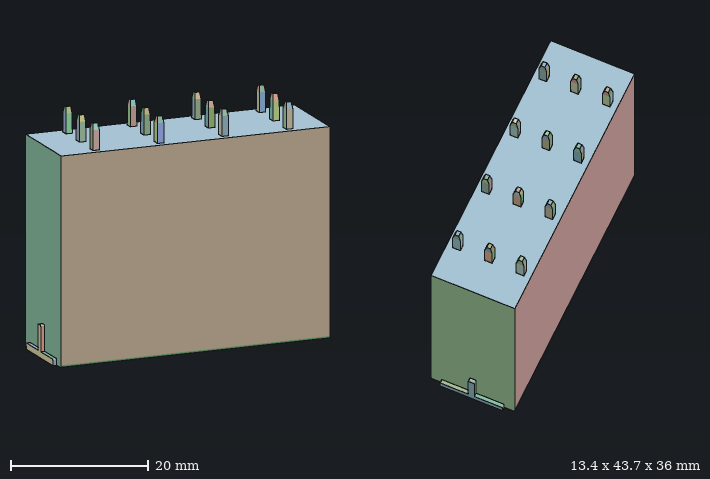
import cadquery as cq

overall_length = 43.7
rail_depth = 0.6
body_width = 13.4
body_length = overall_length - 2 * rail_depth
overall_height = 36.0
pin_height = 4.0
body_height = overall_height - pin_height
bottom_edge_radius = 0.4

pin_columns = 3
pin_rows = 4
column_pitch = 5.05
row_pitch = 10.18
pin_width = 1.22
pin_thickness = 1.0
tip_height = 1.0
tip_width = 0.6
tip_thickness = 0.8

foot_width = 10.0
foot_height = 1.0
upright_width = 1.0
upright_height = 5.0
rail_corner_radius = 0.17


def block(width, length, height):
    """Box centred on X and Y, standing on Z = 0."""
    return cq.Workplane("XY").box(width, length, height, centered=(True, True, False))


def make_body():
    body = block(body_width, body_length, body_height)
    return body.edges("|Y and <Z").fillet(bottom_edge_radius)


def make_rails():
    """T-shaped bars running the overall length, so that they stand proud of both end faces."""
    foot = block(foot_width, overall_length, foot_height)
    upright = block(upright_width, overall_length, upright_height)
    foot = foot.edges("|Y and >Z").fillet(rail_corner_radius)
    upright = upright.edges("|Y and >Z").fillet(rail_corner_radius)
    return foot.union(upright)


def make_pin():
    """Rectangular pin standing on Z = 0, with a tip tapered on all four sides."""
    shank_height = pin_height - tip_height
    shank = block(pin_width, pin_thickness, shank_height)
    tip = (
        cq.Workplane("XY", origin=(0, 0, shank_height))
        .rect(pin_width, pin_thickness)
        .workplane(offset=tip_height)
        .rect(tip_width, tip_thickness)
        .loft(ruled=True)
    )
    return shank.union(tip)


result = make_body().union(make_rails())

pin = make_pin()
for column in range(pin_columns):
    x = (column - (pin_columns - 1) / 2) * column_pitch
    for row in range(pin_rows):
        y = (row - (pin_rows - 1) / 2) * row_pitch
        result = result.union(pin.translate((x, y, body_height)))